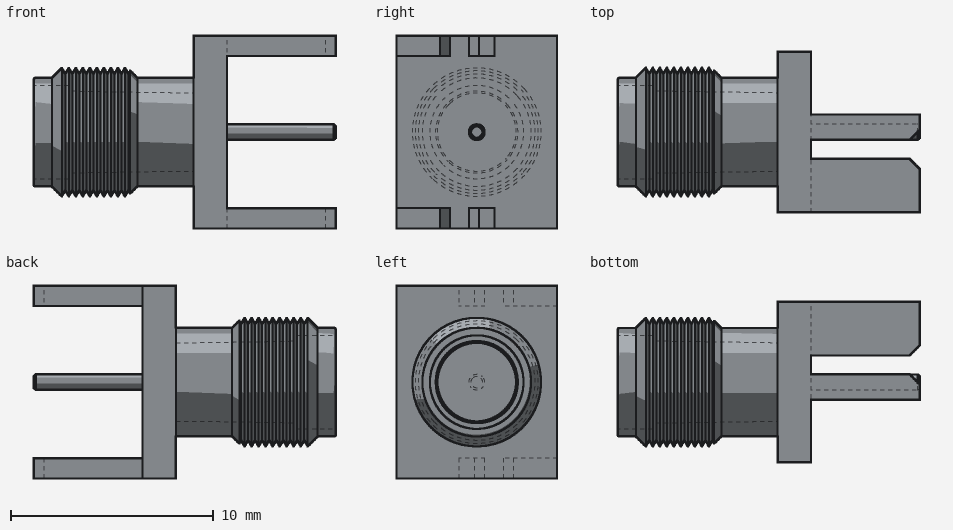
import cadquery as cq
import math


total_length = 14.9
plate_width = 7.93
plate_height = 9.52

plate_front_x = 7.88
plate_thickness = 1.65
plate_back_x = plate_front_x + plate_thickness
leg_thickness = 1.01
narrow_leg_top_y = 0.88
board_slot_top_y = -0.39
board_slot_width = 0.92
board_slot_bottom_y = board_slot_top_y - board_slot_width
leg_chamfer = 0.5

barrel_radius = 2.68
barrel_rim_fillet = 0.1
thread_crest_radius = 3.17
thread_crest_count = 10
thread_crest_span = 3.11
thread_pitch = thread_crest_span / (thread_crest_count - 1)
thread_flank_angle = math.radians(60)
thread_depth = thread_pitch / 2 * math.tan(thread_flank_angle)
thread_root_radius = thread_crest_radius - thread_depth
thread_start_x = 0.9
thread_end_x = 5.11

socket_radius = 2.31
socket_depth = 1.9
taper_mouth_radius = 2.03
taper_floor_radius = 1.94
taper_floor_x = plate_front_x

pin_radius = 0.39
pin_tip_chamfer = 0.1


def revolve_about_axis(outline):
    """Revolve a closed (x, radius) outline about the X axis."""
    return cq.Workplane("XY").polyline(outline).close().revolve(360, (0, 0, 0), (1, 0, 0))


def thread_outline():
    """Ridged (x, radius) outline with a 45 degree chamfer at each end of the thread."""
    points = [(thread_start_x, barrel_radius)]
    first_crest_x = thread_start_x + thread_crest_radius - barrel_radius
    for i in range(thread_crest_count):
        crest_x = first_crest_x + i * thread_pitch
        points.append((crest_x, thread_crest_radius))
        points.append((crest_x + thread_pitch / 2, thread_root_radius))

    last_root_x = points[-1][0]
    chamfer_height = barrel_radius + thread_end_x - last_root_x - thread_root_radius
    rise_length = chamfer_height / (1 + math.tan(thread_flank_angle))
    last_ridge_x = last_root_x + rise_length
    points.append((last_ridge_x, barrel_radius + thread_end_x - last_ridge_x))
    points.append((thread_end_x, barrel_radius))
    return points


def make_barrel():
    """Threaded barrel with a rounded rim, before the socket is cut."""
    outline = [
        (0, 0),
        (0, barrel_radius),
        *thread_outline(),
        (plate_front_x, barrel_radius),
        (plate_front_x, 0),
    ]
    return revolve_about_axis(outline).faces("<X").edges().fillet(barrel_rim_fillet)


def make_socket():
    """Stepped cavity: a straight bore, then a slightly tapered one."""
    outline = [
        (0, 0),
        (0, socket_radius),
        (socket_depth, socket_radius),
        (socket_depth, taper_mouth_radius),
        (taper_floor_x, taper_floor_radius),
        (taper_floor_x, 0),
    ]
    return revolve_about_axis(outline)


def make_plate():
    return cq.Workplane("XY").box(plate_thickness, plate_width, plate_height).translate(
        (plate_front_x + plate_thickness / 2, 0, 0)
    )


def make_leg_pair(bottom_z):
    """A narrow and a wide leg side by side, with the board slot between them."""
    chamfer_start_x = total_length - leg_chamfer
    narrow_leg = [
        (plate_back_x, narrow_leg_top_y),
        (total_length, narrow_leg_top_y),
        (total_length, board_slot_top_y + leg_chamfer),
        (chamfer_start_x, board_slot_top_y),
        (plate_back_x, board_slot_top_y),
    ]
    wide_leg = [
        (plate_back_x, board_slot_bottom_y),
        (chamfer_start_x, board_slot_bottom_y),
        (total_length, board_slot_bottom_y - leg_chamfer),
        (total_length, -plate_width / 2),
        (plate_back_x, -plate_width / 2),
    ]
    base = cq.Workplane("XY").workplane(offset=bottom_z)
    return base.polyline(narrow_leg).close().polyline(wide_leg).close().extrude(leg_thickness)


def make_housing():
    body = make_plate().union(make_barrel()).cut(make_socket())
    for bottom_z in (-plate_height / 2, plate_height / 2 - leg_thickness):
        body = body.union(make_leg_pair(bottom_z))
    return body.solids()


def make_pin():
    """Round contact pin standing on the back face of the plate."""
    pin_length = total_length - plate_back_x
    blank = cq.Workplane("YZ").workplane(offset=plate_back_x).circle(pin_radius).extrude(pin_length)
    return blank.faces(">X").chamfer(pin_tip_chamfer)


housing = make_housing()
pin = make_pin()

result = cq.Compound.makeCompound([housing.val(), pin.val()])